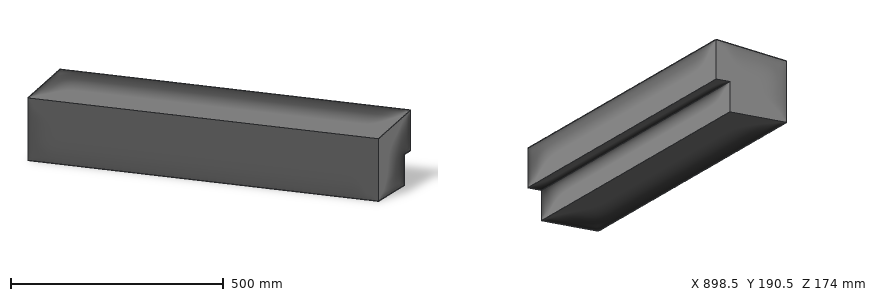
import cadquery as cq

length = 898.5
depth = 190.5
back_height = 174.0

front_height = 153.0

rebate_depth = 37.0
rebate_height = 75.5

front_y = -depth / 2
back_y = depth / 2
rebate_y = back_y - rebate_depth

profile = [
    (front_y, 0),
    (rebate_y, 0),
    (rebate_y, rebate_height),
    (back_y, rebate_height),
    (back_y, back_height),
    (front_y, front_height),
]

result = cq.Workplane("YZ").polyline(profile).close().extrude(length / 2, both=True)